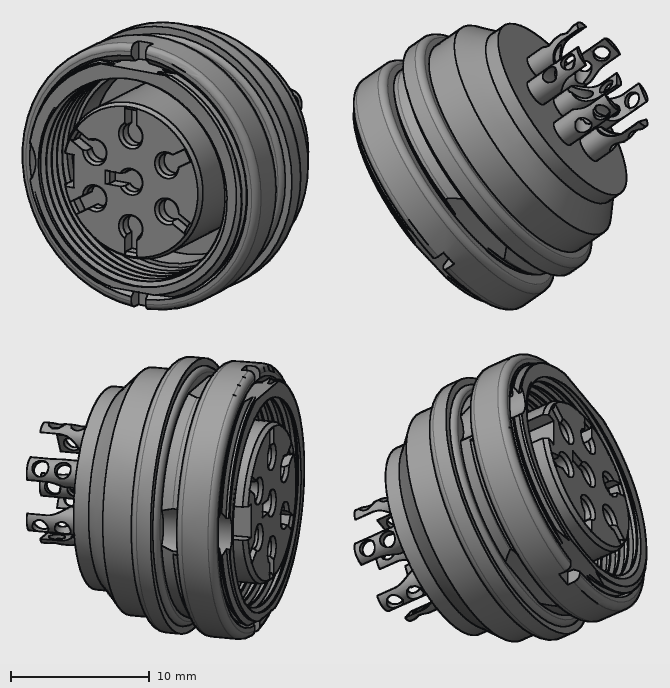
import cadquery as cq
import math

OVERLAP = 0.1

SHELL_FRONT = 0.35
NUT_FRONT = 1.1
NUT_BACK = 4.1
THREAD_END = 4.65
GASKET_FRONT = 5.55
FLANGE_FRONT = 5.95
FLANGE_BACK = 7.55
TAPER_START = 9.9
TAPER_END = 11.5
REAR_FACE = 12.65
TAIL_END = 17.3

RIM_DIA = 20.0
BODY_DIA = 18.0
REAR_DIA = 14.75
THREAD_DIA = 18.0
THREAD_RUNOUT_DIA = 17.45
THREAD_LEAD_IN = 0.18
GASKET_DIA = 18.9
GASKET_ROUND = 0.399
RIM_ROUND = 0.5
FLAT_HEIGHT = 8.4
NOTCH_DIA = 4.5
NOTCH_DEPTH = 0.8

BORE_DIA = 14.7
BORE_THREAD_DIA = 15.3
BORE_THREAD_END = 4.5
BORE_FLOOR = 7.0

PITCH = 0.75
OUTER_THREAD_DEPTH = 0.4
INNER_THREAD_DEPTH = 0.35
GROOVE_WIDTH = 0.65
OUTER_GROOVE_ROOT = 0.2
INNER_GROOVE_ROOT = 0.3
OUTER_GROOVE_START = -0.55
OUTER_GROOVE_END = 4.3
INNER_GROOVE_START = -0.6
INNER_GROOVE_END = 4.0

NUT_BORE_DIA = 17.3
NUT_MOUTH_DIA = 18.3
NUT_SLOT_WIDTH = 1.2
NUT_SLOT_DEPTH = 1.0

INSERT_DIA = 11.75
INSERT_FACE_DIA = 11.3
KEYWAY_FLOOR = 4.8
KEYWAY_WIDTH = 2.5
KEYWAY_POCKET_DEPTH = 0.5

CONTACT_CIRCLE_RADIUS = 3.5
OUTER_CONTACTS = 6
CONTACT_DIA = 2.0
SOCKET_DIA = 1.65
SOCKET_CHAMFER_DEPTH = 0.3
SOCKET_DEPTH = 1.0
SLOT_WIDTH = 1.0
SLOT_REACH = 2.15
SLOT_END_BEVEL = 0.25
SLOT_BEVEL_DEPTH = 0.2

TAIL_OFFSET = 0.5
TAIL_CUT_RADIUS = 1.65
TAIL_CUT_START = 14.2
TAIL_HOLE_DIA = 1.2
TAIL_HOLES = (14.6, 16.3)


def ring(outer_dia, inner_dia, start, end):
    """Tube about the Y axis."""
    profile = cq.Workplane("XY").moveTo(inner_dia / 2, start)
    profile = profile.lineTo(outer_dia / 2, start).lineTo(outer_dia / 2, end)
    return profile.lineTo(inner_dia / 2, end).close().revolve(360, (0, 0), (0, 1))


def turned(points):
    """Solid of revolution about Y from (radius, y) points."""
    return cq.Workplane("XY").polyline(points).close().revolve(360, (0, 0), (0, 1))


def thread_groove(surface_dia, depth, root_width, start, end):
    """Trapezoidal groove on a right-handed helix about Y; positive depth cuts outwards."""
    surface = surface_dia / 2
    outside = math.copysign(OVERLAP, depth)
    half_width = GROOVE_WIDTH / 2
    root_half = root_width / 2
    mouth_half = half_width + (half_width - root_half) * OVERLAP / abs(depth)
    helix = cq.Wire.makeHelix(PITCH, end - start, surface)
    groove = (
        cq.Workplane("XZ")
        .polyline([
            (surface - outside, -mouth_half),
            (surface + depth, -root_half),
            (surface + depth, root_half),
            (surface - outside, mouth_half),
        ])
        .close()
        .sweep(cq.Workplane(obj=helix), isFrenet=True)
    )
    return groove.rotate((0, 0, 0), (1, 0, 0), -90).translate((0, start, 0))


def make_threaded_sleeve():
    """Front sleeve with its outer thread, two flats and a locating notch."""
    radius = THREAD_DIA / 2
    sleeve = turned([
        (0, SHELL_FRONT),
        (radius - THREAD_LEAD_IN, SHELL_FRONT),
        (radius, SHELL_FRONT + THREAD_LEAD_IN),
        (radius, THREAD_END),
        (THREAD_RUNOUT_DIA / 2, GASKET_FRONT),
        (THREAD_RUNOUT_DIA / 2, FLANGE_FRONT),
        (0, FLANGE_FRONT),
    ])
    groove = thread_groove(
        THREAD_DIA, -OUTER_THREAD_DEPTH, OUTER_GROOVE_ROOT, OUTER_GROOVE_START, OUTER_GROOVE_END
    )
    flats = cq.Workplane("XY").box(RIM_DIA, 2 * REAR_FACE, 2 * FLAT_HEIGHT)
    notch_centre = -(radius - NOTCH_DEPTH + NOTCH_DIA / 2)
    notch = cq.Workplane("XZ").center(notch_centre, 0).circle(NOTCH_DIA / 2).extrude(-FLANGE_FRONT)
    return sleeve.cut(groove).intersect(flats).cut(notch)


def make_body():
    """Flange, gasket and the stepped, tapered rear of the shell."""
    flange = ring(RIM_DIA, BORE_DIA, FLANGE_FRONT, FLANGE_BACK).faces(">Y").edges("%CIRCLE")
    flange = flange.edges(cq.selectors.RadiusNthSelector(-1)).fillet(RIM_ROUND)
    gasket = ring(GASKET_DIA, BORE_DIA, GASKET_FRONT, FLANGE_FRONT).faces("<Y")
    gasket = gasket.edges(cq.selectors.RadiusNthSelector(-1)).fillet(GASKET_ROUND)
    rear = turned([
        (0, FLANGE_FRONT),
        (BODY_DIA / 2, FLANGE_FRONT),
        (BODY_DIA / 2, TAPER_START),
        (REAR_DIA / 2, TAPER_END),
        (REAR_DIA / 2, REAR_FACE),
        (0, REAR_FACE),
    ])
    return rear.union(flange).union(gasket)


def make_bore():
    """Cutters for the socket bore and for its inner thread."""
    smooth = ring(BORE_DIA, 0, 0, BORE_FLOOR)
    threaded = ring(BORE_THREAD_DIA, 0, 0, BORE_THREAD_END)
    groove = thread_groove(
        BORE_THREAD_DIA, INNER_THREAD_DEPTH, INNER_GROOVE_ROOT, INNER_GROOVE_START, INNER_GROOVE_END
    )
    return smooth.union(threaded), groove


def make_nut():
    """Round nut with a countersunk mouth and two driver slots in its front face."""
    nut = ring(RIM_DIA, NUT_BORE_DIA, NUT_FRONT, NUT_BACK)
    nut = nut.edges(cq.selectors.RadiusNthSelector(-1)).fillet(RIM_ROUND)
    mouth_depth = (NUT_MOUTH_DIA - NUT_BORE_DIA) / 2
    nut = nut.cut(turned([
        (0, NUT_FRONT),
        (NUT_MOUTH_DIA / 2, NUT_FRONT),
        (NUT_BORE_DIA / 2, NUT_FRONT + mouth_depth),
        (0, NUT_FRONT + mouth_depth),
    ]))
    slots = cq.Workplane("XY").box(NUT_SLOT_WIDTH, 2 * NUT_SLOT_DEPTH, RIM_DIA + OVERLAP)
    return nut.cut(slots.translate((0, NUT_FRONT, 0)))


def make_insert():
    """Contact carrier with a bevelled face and a keyway on the -X side."""
    insert = turned([
        (0, 0),
        (INSERT_FACE_DIA / 2, 0),
        (INSERT_DIA / 2, SHELL_FRONT),
        (INSERT_DIA / 2, BORE_FLOOR),
        (0, BORE_FLOOR),
    ])
    keyway_depth = INSERT_DIA / 2 - KEYWAY_FLOOR + OVERLAP
    keyway = cq.Workplane("XY").box(keyway_depth, BORE_FLOOR, KEYWAY_WIDTH, centered=(True, False, True))
    return insert.cut(keyway.translate((-KEYWAY_FLOOR - keyway_depth / 2, 0, 0)))


def make_keyway_pocket():
    """Cutter that carries the keyway a little below the bore floor, inside a round outline."""
    outline = ring(INSERT_FACE_DIA, 0, BORE_FLOOR - OVERLAP, BORE_FLOOR + KEYWAY_POCKET_DEPTH)
    block = cq.Workplane("XY").box(INSERT_DIA, 2 * REAR_FACE, KEYWAY_WIDTH)
    return outline.intersect(block.translate((-KEYWAY_FLOOR - INSERT_DIA / 2, 0, 0)))


def make_socket():
    """Cutter for one contact opening on the axis, its slot running towards +X."""
    hole = turned([
        (0, 0),
        (CONTACT_DIA / 2, 0),
        (SOCKET_DIA / 2, SOCKET_CHAMFER_DEPTH),
        (SOCKET_DIA / 2, SOCKET_DEPTH),
        (0, SOCKET_DEPTH),
    ])
    slot = (
        cq.Workplane("XY")
        .polyline([
            (0, 0),
            (SLOT_REACH, 0),
            (SLOT_REACH - SLOT_END_BEVEL, SLOT_BEVEL_DEPTH),
            (SLOT_REACH - SLOT_END_BEVEL, SOCKET_DEPTH),
            (0, SOCKET_DEPTH),
        ])
        .close()
        .extrude(SLOT_WIDTH / 2, both=True)
    )
    return hole.union(slot)


def make_tail():
    """One solder tail on the axis: a pin cut away on its -X side and cross-drilled twice."""
    radius = CONTACT_DIA / 2
    tail = ring(CONTACT_DIA, 0, BORE_FLOOR, TAIL_END)
    arc_centre = (TAIL_OFFSET - TAIL_CUT_RADIUS, TAIL_CUT_START + TAIL_CUT_RADIUS)
    arc_step = TAIL_CUT_RADIUS * math.sqrt(0.5)
    relief = (
        cq.Workplane("XY")
        .moveTo(arc_centre[0], TAIL_CUT_START)
        .threePointArc(
            (arc_centre[0] + arc_step, arc_centre[1] - arc_step),
            (TAIL_OFFSET, arc_centre[1]),
        )
        .lineTo(TAIL_OFFSET, TAIL_END)
        .lineTo(arc_centre[0], TAIL_END)
        .close()
        .extrude(radius, both=True)
    )
    tail = tail.cut(relief)
    for height in TAIL_HOLES:
        hole = cq.Workplane("YZ").center(height, 0).circle(TAIL_HOLE_DIA / 2).extrude(radius, both=True)
        tail = tail.cut(hole)
    return tail


def place(shape, angle, distance):
    """Move a contact feature outwards and turn it about the Y axis."""
    return shape.translate((distance, 0, 0)).rotate((0, 0, 0), (0, 1, 0), angle)


bore, bore_groove = make_bore()
part = make_threaded_sleeve().union(make_body()).cut(bore).cut(bore_groove)
part = part.union(make_nut()).union(make_insert()).cut(make_keyway_pocket())

contact_places = [(180, 0)]
for index in range(OUTER_CONTACTS):
    contact_places.append((90 + index * 360 / OUTER_CONTACTS, CONTACT_CIRCLE_RADIUS))

for angle, distance in contact_places:
    part = part.cut(place(make_socket(), angle, distance))
    part = part.union(place(make_tail(), angle, distance))

result = part